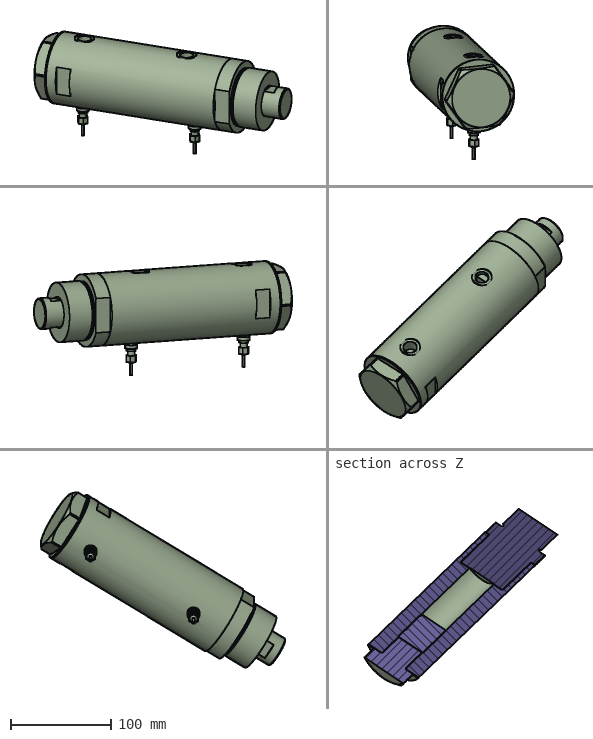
import cadquery as cq
import math


TOTAL_LENGTH = 261.5
TOTAL_HEIGHT = 105.5

FLANGE_START = 14.5
BARREL_START = 16.0
BARREL_END = 198.0
HEAD_SHOULDER = 213.7
COLLAR_START = 216.8
COLLAR_END = 241.5

BARREL_DIAMETER = 73.0
BARREL_RADIUS = BARREL_DIAMETER / 2
BORE_RADIUS = 22.5
HEAD_SEAT_RADIUS = 31.5
WRENCH_FLAT_OFFSET = 33.5
WRENCH_FLAT_START = 26.2
WRENCH_FLAT_LENGTH = 15.2

PORT_X = (42.0, 153.3)
PORT_RADIUS = 6.8
SPOTFACE_RADIUS = 10.0
SPOTFACE_HEIGHT = 35.3

HEX_FLAT_RADIUS = 30.0
HEX_CORNER_RADIUS = 34.3
HEX_SIDES = 6
HEX_TURN = -5
HEX_FACE_RADIUS = 29.5
HEX_CHAMFER_LENGTH = 3.5

HEAD_FLATS_WIDTH = 64.0
COLLAR_RADIUS = 30.0
GROOVE_RADIUS = 28.5
GROOVE_LIP_RADIUS = 29.5
GROOVE_LIP_LENGTH = 0.8
COLLAR_CHAMFER = 1.0

PISTON_END = 78.5
ROD_RADIUS = 15.7
ROD_CHAMFER = 1.0
ROD_FLAT_OFFSET = 13.3
ROD_FLAT_END = 251.8

SENSOR_X = (40.3, 162.1)
SENSOR_TOP = -32.7
SENSOR_CHAMFER_TOP = -36.4
COUPLING_TOP = -38.0
COUPLING_BOTTOM = -41.5
STEP_BOTTOM = -44.2
SENSOR_NUT_TOP = -49.0
SENSOR_NUT_BOTTOM = -55.5
SENSOR_CONE_BOTTOM = -57.0
PIN_BOTTOM = BARREL_RADIUS - TOTAL_HEIGHT
STEM_RADIUS = 5.2
COUPLING_RADIUS = 6.3
STEP_RADIUS = 4.7
NECK_RADIUS = 3.7
SENSOR_NUT_CORNER_DIAMETER = 10.7
SENSOR_CONE_RADIUS = 4.0
PIN_RADIUS = 1.3


def turned(profile):
    """Revolve a closed (x, radius) outline about the X axis."""
    return cq.Workplane("XZ").polyline(profile).close().revolve(360, (0, 0, 0), (1, 0, 0))


def round_bar(x_start, x_end, radius):
    """Cylinder along the X axis between two stations."""
    return turned([(x_start, 0), (x_start, radius), (x_end, radius), (x_end, 0)])


def slab(x_start, x_end, width, height):
    """Rectangular block centred on the X axis between two stations."""
    return cq.Workplane("YZ").workplane(offset=x_start).rect(width, height).extrude(x_end - x_start)


def upright_cylinder(x, z_bottom, z_top, radius):
    return cq.Workplane("XY", origin=(x, 0, z_bottom)).circle(radius).extrude(z_top - z_bottom)


def make_plug():
    hexagon = (
        cq.Workplane("YZ")
        .polygon(HEX_SIDES, 2 * HEX_FLAT_RADIUS / math.cos(math.pi / HEX_SIDES))
        .extrude(FLANGE_START)
        .rotate((0, 0, 0), (1, 0, 0), HEX_TURN)
    )
    chamfered_blank = turned([
        (0, 0),
        (0, HEX_FACE_RADIUS),
        (HEX_CHAMFER_LENGTH, HEX_CORNER_RADIUS),
        (FLANGE_START, HEX_CORNER_RADIUS),
        (FLANGE_START, 0),
    ])
    shank = turned([
        (FLANGE_START, 0),
        (FLANGE_START, BARREL_RADIUS),
        (BARREL_START, BARREL_RADIUS),
        (BARREL_START, BORE_RADIUS),
        (PORT_X[0], BORE_RADIUS),
        (PORT_X[0], 0),
    ])
    shank = shank.rotate((0, 0, 0), (1, 0, 0), HEX_TURN)
    return hexagon.intersect(chamfered_blank).union(shank)


def make_barrel():
    barrel = round_bar(BARREL_START, BARREL_END, BARREL_RADIUS)
    barrel = barrel.cut(round_bar(BARREL_START, PORT_X[1], BORE_RADIUS))
    barrel = barrel.cut(round_bar(PORT_X[1], BARREL_END, HEAD_SEAT_RADIUS))

    flat_end = WRENCH_FLAT_START + WRENCH_FLAT_LENGTH
    ring = round_bar(WRENCH_FLAT_START, flat_end, 2 * BARREL_RADIUS)
    barrel = barrel.cut(
        ring.cut(slab(WRENCH_FLAT_START, flat_end, 2 * WRENCH_FLAT_OFFSET, 4 * BARREL_RADIUS))
    )

    for x in PORT_X:
        barrel = barrel.cut(upright_cylinder(x, 0, BARREL_RADIUS, PORT_RADIUS))
        barrel = barrel.cut(upright_cylinder(x, SPOTFACE_HEIGHT, BARREL_RADIUS, SPOTFACE_RADIUS))

    for x in SENSOR_X:
        barrel = barrel.cut(make_sensor(x))
    return barrel


def make_head():
    head = turned([
        (PORT_X[1], ROD_RADIUS),
        (PORT_X[1], HEAD_SEAT_RADIUS),
        (BARREL_END, HEAD_SEAT_RADIUS),
        (BARREL_END, BARREL_RADIUS),
        (HEAD_SHOULDER, BARREL_RADIUS),
        (HEAD_SHOULDER, GROOVE_LIP_RADIUS),
        (HEAD_SHOULDER + GROOVE_LIP_LENGTH, GROOVE_RADIUS),
        (COLLAR_START - COLLAR_CHAMFER, GROOVE_RADIUS),
        (COLLAR_START, COLLAR_RADIUS),
        (COLLAR_END, COLLAR_RADIUS),
        (COLLAR_END, ROD_RADIUS),
    ])
    return head.intersect(slab(PORT_X[1], COLLAR_END, HEAD_FLATS_WIDTH, 2 * BARREL_RADIUS))


def make_piston_rod():
    rod = turned([
        (PORT_X[0], 0),
        (PORT_X[0], BORE_RADIUS),
        (PISTON_END, BORE_RADIUS),
        (PISTON_END, ROD_RADIUS),
        (TOTAL_LENGTH - ROD_CHAMFER, ROD_RADIUS),
        (TOTAL_LENGTH, ROD_RADIUS - ROD_CHAMFER),
        (TOTAL_LENGTH, 0),
    ])
    ring = round_bar(COLLAR_END, ROD_FLAT_END, 2 * ROD_RADIUS)
    return rod.cut(ring.cut(slab(COLLAR_END, ROD_FLAT_END, 4 * ROD_RADIUS, 2 * ROD_FLAT_OFFSET)))


def make_sensor(x):
    body_profile = [
        (0, SENSOR_TOP),
        (STEM_RADIUS, SENSOR_TOP),
        (STEM_RADIUS, SENSOR_CHAMFER_TOP),
        (COUPLING_RADIUS, COUPLING_TOP),
        (COUPLING_RADIUS, COUPLING_BOTTOM),
        (STEP_RADIUS, COUPLING_BOTTOM),
        (STEP_RADIUS, STEP_BOTTOM),
        (NECK_RADIUS, STEP_BOTTOM),
        (NECK_RADIUS, SENSOR_NUT_BOTTOM),
        (SENSOR_CONE_RADIUS, SENSOR_NUT_BOTTOM),
        (PIN_RADIUS, SENSOR_CONE_BOTTOM),
        (PIN_RADIUS, PIN_BOTTOM),
        (0, PIN_BOTTOM),
    ]
    body = cq.Workplane("XZ").polyline(body_profile).close().revolve(360, (0, 0, 0), (0, 1, 0))
    nut = (
        cq.Workplane("XY", origin=(0, 0, SENSOR_NUT_BOTTOM))
        .polygon(HEX_SIDES, SENSOR_NUT_CORNER_DIAMETER)
        .extrude(SENSOR_NUT_TOP - SENSOR_NUT_BOTTOM)
    )
    return body.union(nut).translate((x, 0, 0))


plug = make_plug()
barrel = make_barrel()
head = make_head()
piston_rod = make_piston_rod()
sensors = [make_sensor(x) for x in SENSOR_X]

result = cq.Compound.makeCompound([
    plug.val(),
    barrel.val(),
    head.val(),
    piston_rod.val(),
    *[sensor.val() for sensor in sensors],
])